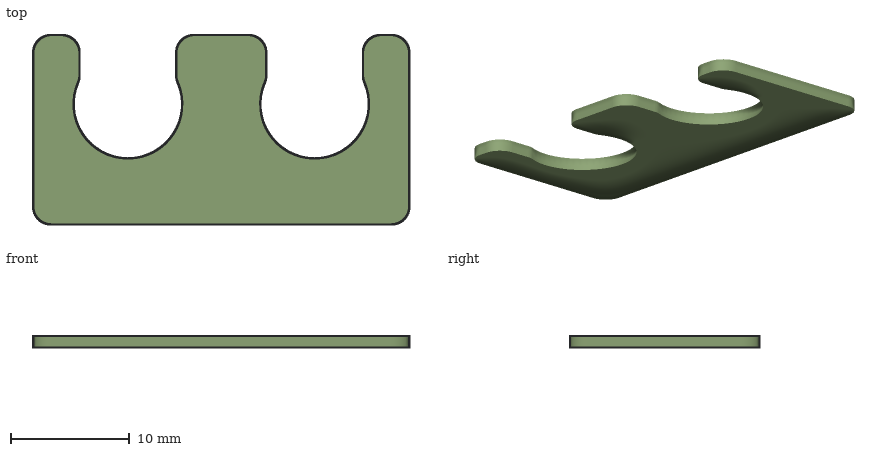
import cadquery as cq

plate_length = 31.75
plate_width = 16.0
plate_thickness = 1.0
corner_radius = 1.524

notch_pitch = 15.748
seat_diameter = 9.144
seat_center_from_bottom = 10.16
neck_width = 8.128
neck_blend_radius = 1.524

edge_margin = 0.05

top_y = plate_width / 2
seat_y = seat_center_from_bottom - plate_width / 2
neck_length = top_y - seat_y
seat_radius = seat_diameter / 2
neck_rise = (seat_radius**2 - (neck_width / 2) ** 2) ** 0.5


def make_plate():
    """Flat plate with rounded outer corners."""
    plate = cq.Workplane("XY").box(plate_length, plate_width, plate_thickness)
    return plate.edges("|Z").fillet(corner_radius)


def make_notch(center_x):
    """Round seat with a narrower straight neck running out through the +Y edge."""
    bottom_plane = cq.Workplane("XY").workplane(offset=-plate_thickness / 2)
    seat = bottom_plane.center(center_x, seat_y).circle(seat_radius).extrude(plate_thickness)
    neck = (
        bottom_plane.center(center_x, seat_y + neck_length / 2)
        .rect(neck_width, neck_length)
        .extrude(plate_thickness)
    )
    return seat.union(neck)


def neck_edges(body, center_x, y):
    """The pair of upright edges on the neck walls of a notch at position y."""
    region = cq.selectors.BoxSelector(
        (center_x - neck_width / 2 - edge_margin, y - edge_margin, -plate_thickness),
        (center_x + neck_width / 2 + edge_margin, y + edge_margin, plate_thickness),
    )
    return body.edges("|Z").edges(region)


def cut_notch(body, center_x):
    """Cuts one notch and rounds its mouth and the junctions of neck and seat."""
    body = body.cut(make_notch(center_x))
    body = neck_edges(body, center_x, top_y).fillet(corner_radius)
    return neck_edges(body, center_x, seat_y + neck_rise).fillet(neck_blend_radius)


result = make_plate()
for notch_x in (-notch_pitch / 2, notch_pitch / 2):
    result = cut_notch(result, notch_x)